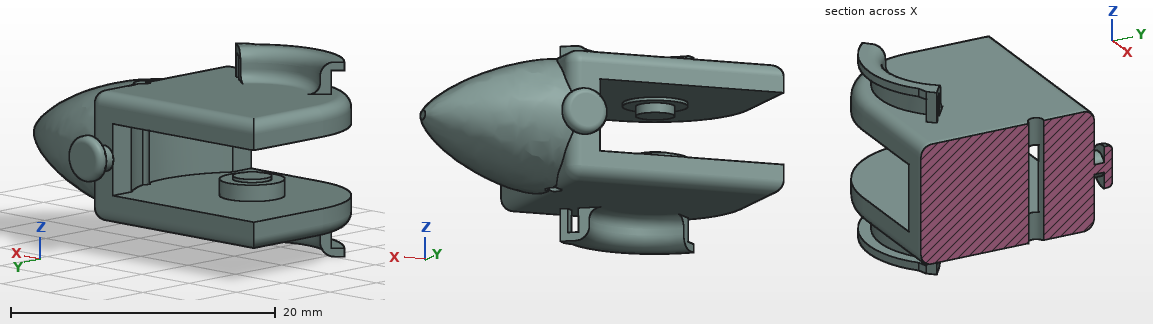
import cadquery as cq
import math


half_width = 7.5
half_height = 5.0
body_end = 9.9
edge_radius = 1.0
slot_half_height = 2.75
slot_end = 7.4
wheel_clearance_radius = 9.22

hole_diameter = 1.25
hole_x = 9.22
axis_y = 2.45
nose_root = 9.44
nose_tip = 19.85
tip_fraction = 0.985
nose_half_width = 7.47
nose_sections = 9
section_points = 16

stub_diameter = 4.95
stub_pin_diameter = 2.95
upper_stub_length = 0.25
upper_pin_length = 0.75
lower_stub_length = 1.25
lower_pin_length = 0.25

guard_height = 2.5
guard_inner_radius = 5.15
guard_outer_radius = 6.0
guard_root_radius = 0.9
guard_crown_radius = 1.07
flange_radius = 6.97
flange_thickness = 0.65
root_overlap = 0.27
guard_start_angle = -136.2
guard_end_angle = -35.9
tab_left_corner = (5.0, -4.5)
tab_front_corner = (5.45, -4.95)
tab_inner_radius = 6.8
tab_outer_radius = 7.4
lip_start_angle = -48

stem_diameter = 2.0
stem_x = 8.31
button_diameter = 3.5
button_top = 9.0
button_thickness = 0.75
button_edge_radius = 0.46


def polar(radius, angle):
    return radius * math.cos(math.radians(angle)), radius * math.sin(math.radians(angle))


def cylinder(diameter, z_start, length):
    return cq.Workplane("XY").workplane(offset=z_start).circle(diameter / 2).extrude(length)


def make_body():
    outline = (
        cq.Workplane("XY")
        .workplane(offset=-half_height)
        .moveTo(-half_width, half_width)
        .lineTo(-half_width, 0)
        .threePointArc(polar(half_width, -135), (0, -half_width))
        .lineTo(body_end, -half_width)
        .lineTo(body_end, half_width)
        .close()
    )
    body = outline.extrude(2 * half_height)
    body = body.edges("|Z and >X").fillet(edge_radius)
    return body.faces("<Z or >Z").edges().fillet(edge_radius)


def nose_section(fraction):
    """Egg-shaped section, tallest at the nose axis, that shrinks towards the tip."""
    x = nose_root + (nose_tip - nose_root) * fraction / tip_fraction
    back_reach = (nose_half_width - axis_y) * (1 - fraction**1.8) ** 0.6
    front_reach = (nose_half_width + axis_y) * (1 - fraction**1.25) ** 0.75
    height = half_height * (1 - fraction**1.5) ** 0.7
    points = []
    for index in range(section_points):
        angle = 2 * math.pi * index / section_points
        reach = back_reach if math.cos(angle) > 0 else front_reach
        points.append((reach * math.cos(angle), height * math.sin(angle)))
    plane = cq.Plane(origin=(x, axis_y, 0), xDir=(0, 1, 0), normal=(1, 0, 0))
    return cq.Workplane(plane).spline(points, periodic=True).wire().val()


def make_nose():
    sections = []
    for index in range(nose_sections):
        fraction = tip_fraction * math.sin(math.pi / 2 * index / (nose_sections - 1))
        sections.append(nose_section(fraction))
    return cq.Workplane(cq.Solid.makeLoft(sections))


def make_slot():
    slot_start = -2 * half_width
    slot = cq.Workplane("XY").box(
        slot_end - slot_start, 2 * half_width, 2 * slot_half_height, centered=(False, True, True)
    )
    slot = slot.translate((slot_start, 0, 0))
    return slot.union(cylinder(2 * wheel_clearance_radius, -slot_half_height, 2 * slot_half_height))


def make_stubs():
    arm_middle = (half_height + slot_half_height) / 2
    root_depth = arm_middle - slot_half_height
    upper = cylinder(stub_diameter, arm_middle, -(root_depth + upper_stub_length))
    upper_pin = cylinder(stub_pin_diameter, arm_middle, -(root_depth + upper_stub_length + upper_pin_length))
    lower = cylinder(stub_diameter, -arm_middle, root_depth + lower_stub_length)
    lower_pin = cylinder(stub_pin_diameter, -arm_middle, root_depth + lower_stub_length + lower_pin_length)
    return upper.union(upper_pin).union(lower).union(lower_pin)


def make_guard():
    base = half_height
    top = base + guard_height
    flange_bottom = top - flange_thickness
    root = guard_inner_radius - guard_root_radius
    crown = guard_inner_radius + guard_crown_radius
    diagonal = math.sqrt(0.5)
    root_middle = (
        root + guard_root_radius * diagonal,
        base + guard_root_radius * (1 - diagonal),
    )
    crown_middle = (
        crown - guard_crown_radius * diagonal,
        top - guard_crown_radius * (1 - diagonal),
    )
    profile = (
        cq.Workplane("XZ")
        .moveTo(guard_outer_radius, base - root_overlap)
        .lineTo(guard_outer_radius, flange_bottom)
        .lineTo(flange_radius, flange_bottom)
        .lineTo(flange_radius, top)
        .lineTo(crown, top)
        .threePointArc(crown_middle, (guard_inner_radius, top - guard_crown_radius))
        .lineTo(guard_inner_radius, base + guard_root_radius)
        .threePointArc(root_middle, (root, base))
        .lineTo(root, base - root_overlap)
        .close()
    )
    rib = profile.revolve(guard_end_angle - guard_start_angle, (0, 0), (0, 1))
    rib = rib.rotate((0, 0, 0), (0, 0, 1), guard_start_angle)

    outer_corner = polar(tab_outer_radius, guard_end_angle)
    inner_corner = polar(tab_inner_radius, guard_end_angle)
    tab_points = [inner_corner, outer_corner, tab_front_corner, tab_left_corner]
    tab = cq.Workplane("XY").workplane(offset=base).polyline(tab_points).close().extrude(guard_height)

    lip_inner_radius = (crown + flange_radius) / 2
    lip_points = [
        polar(lip_inner_radius, guard_end_angle),
        outer_corner,
        tab_front_corner,
        polar(flange_radius, lip_start_angle),
        polar(lip_inner_radius, lip_start_angle),
    ]
    lip = cq.Workplane("XY").workplane(offset=flange_bottom).polyline(lip_points).close()
    return rib.union(tab).union(lip.extrude(flange_thickness))


def make_button():
    head_x = stem_x + (button_diameter - stem_diameter) / 2
    head_base = button_top - button_thickness
    stem_root = half_width - edge_radius
    stem_plane = cq.Plane(origin=(stem_x, stem_root, 0), xDir=(1, 0, 0), normal=(0, 1, 0))
    head_plane = cq.Plane(origin=(head_x, head_base, 0), xDir=(1, 0, 0), normal=(0, 1, 0))
    stem = cq.Workplane(stem_plane).circle(stem_diameter / 2).extrude(head_base - stem_root)
    head = cq.Workplane(head_plane).circle(button_diameter / 2).extrude(button_thickness)
    return stem.union(head.faces(">Y").edges().fillet(button_edge_radius))


hole = cylinder(hole_diameter, -2 * half_height, 4 * half_height).translate((hole_x, axis_y, 0))
upper_guard = make_guard()
lower_guard = upper_guard.mirror("XY")

result = make_body().union(make_nose()).union(make_button())
result = result.cut(make_slot()).cut(hole)
result = result.union(make_stubs()).union(upper_guard).union(lower_guard)